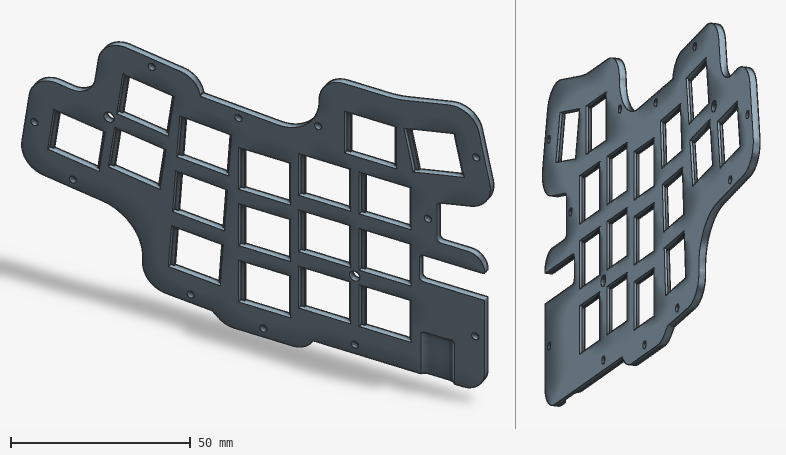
import cadquery as cq
import math

THICKNESS = 2.0
FRONT_Y = -THICKNESS / 2
BACK_Y = THICKNESS / 2

PITCH = 19.0
RING_TILT = -8
LONG_TILT = -4
THUMB_TILT = 12
INNER_TOP_Z = 9.6
WINDOW = 14.0
SEAT_WIDTH = 16.5
SEAT_DEPTH = 1.3
OUTER_DROP = 3.0

MARGIN = 16.3
CORNER_RADIUS = 8.0
LOWER_RIGHT_RADIUS = 6.8
SHOULDER_RADIUS = 7.4
UPPER_VALLEY_RADIUS = 12.3
LOWER_VALLEY_RADIUS = 14.8
STEP_VALLEY_RADIUS = 6.8
THUMB_BEND_RADIUS = 29.6
SLOT_CORNER_RADIUS = 1.3
SHARP_RADIUS = 0.5
RING_SHOULDER = 14.2
RING_STEP = (-17.8, 25.8)
MIDDLE_STEP_RIGHT_X = 17.8
MIDDLE_SHOULDER_RIGHT_X = 15.4
MIDDLE_SHOULDER_LEFT_X = -9.8
MIDDLE_STEP_LEFT = (-14.0, -45.2)
BOTTOM_Z = -44.9
RIGHT_X = 72.0
STEM_X = 56.9
SLOT_X = 51.4
SLOT_HEIGHT = 8.9
SLOT_TOP_Z = -4.7
TAB_HEIGHT = 5.9
TAB_RADIUS = 5.3

SCREW_DIAMETER = 2.2
LOCATOR_DIAMETER = 3.3
SCREW_HOLES = [
    (69.3, 33.6), (54.0, 8.0), (69.0, -26.6), (31.0, -41.9), (2.0, -45.9), (-20.9, -41.9),
    (-58.0, -15.4), (-70.2, 0.0), (-33.2, 30.6), (-5.8, 22.4), (19.4, 27.8),
]
LOCATOR_HOLES = [(-46.6, 9.3), (31.0, -18.8)]

RECESS_CENTRE_X = 57.1
RECESS_FLOOR_WIDTH = 6.4
RECESS_WIDTH = 10.7
RECESS_DEPTH = 1.0
RECESS_TOP_Z = -30.5
RECESS_END_RADIUS = 1.0
RECESS_OVERRUN = 1.5


def from_key(key, across, up):
    """Point at a distance across and up from a key centre, along the key's own tilted axes."""
    x, z, tilt = key
    c = math.cos(math.radians(tilt))
    s = math.sin(math.radians(tilt))
    return (x + across * c - up * s, z + across * s + up * c)


def column(top_key, count):
    """Keys (x, z, tilt) going down from the top key of a column."""
    tilt = top_key[2]
    return [(*from_key(top_key, 0, -row * PITCH), tilt) for row in range(count)]


ring_column = column((-35.1, 17.2, RING_TILT), 2)
long_column = column((-16.6, 9.5, LONG_TILT), 3)
middle_column = column((2.5, 5.5, 0), 3)
inner_column = column((21.5, INNER_TOP_Z, 0), 3)
last_column = column((40.5, INNER_TOP_Z, 0), 3)
outer_key = (*from_key(ring_column[1], -PITCH, -OUTER_DROP), RING_TILT)
upper_key = (36.0, INNER_TOP_Z + PITCH, 0)
thumb_key = (56.0, 30.8, THUMB_TILT)
keys = [outer_key, upper_key, thumb_key]
keys += ring_column + long_column + middle_column + inner_column + last_column


def crossing(p, p_tilt, q, q_tilt):
    """Where the line through p at angle p_tilt meets the line through q at angle q_tilt."""
    px, pz = math.cos(math.radians(p_tilt)), math.sin(math.radians(p_tilt))
    qx, qz = math.cos(math.radians(q_tilt)), math.sin(math.radians(q_tilt))
    along = ((q[0] - p[0]) * qz - (q[1] - p[1]) * qx) / (px * qz - pz * qx)
    return (p[0] + along * px, p[1] + along * pz)


def rounded_outline(corners):
    """Closed XZ outline through (point, radius) corners, each rounded by a tangent arc."""
    stretches = []
    for i, (corner, radius) in enumerate(corners):
        here = cq.Vector(*corner)
        back = (cq.Vector(*corners[i - 1][0]) - here).normalized()
        ahead = (cq.Vector(*corners[(i + 1) % len(corners)][0]) - here).normalized()
        half_angle = back.getAngle(ahead) / 2
        tangent_length = radius / math.tan(half_angle)
        middle_distance = radius / math.sin(half_angle) - radius
        start = here + back * tangent_length
        middle = here + (back + ahead).normalized() * middle_distance
        end = here + ahead * tangent_length
        stretches.append([(point.x, point.y) for point in (start, middle, end)])
    last_end = stretches[-1][2]
    outline = cq.Workplane("XZ", origin=(0, BACK_Y, 0)).moveTo(*last_end)
    for start, middle, end in stretches:
        outline = outline.lineTo(*start).threePointArc(middle, end)
    return outline.close()


outer_top = from_key(outer_key, 0, MARGIN)
outer_bottom = from_key(outer_key, 0, -MARGIN)
ring_left = from_key(ring_column[0], -MARGIN, 0)
long_left = from_key(long_column[2], -MARGIN, 0)
long_top = from_key(long_column[0], 0, MARGIN)
upper_left_x = upper_key[0] - MARGIN
upper_top = (upper_key[0], upper_key[1] + MARGIN)
thumb_top = from_key(thumb_key, 0, MARGIN)
thumb_bottom = from_key(thumb_key, 0, -MARGIN)
middle_bottom_z = middle_column[2][1] - MARGIN

slot_bottom_z = SLOT_TOP_Z - SLOT_HEIGHT
tab_top_z = SLOT_TOP_Z + TAB_HEIGHT

corners = [
    (from_key(outer_key, -MARGIN, -MARGIN), CORNER_RADIUS),
    (from_key(outer_key, -MARGIN, MARGIN), CORNER_RADIUS),
    (crossing(outer_top, RING_TILT, ring_left, RING_TILT + 90), STEP_VALLEY_RADIUS),
    (from_key(ring_column[0], -MARGIN, MARGIN), CORNER_RADIUS),
    (from_key(ring_column[0], RING_SHOULDER, MARGIN), SHOULDER_RADIUS),
    (RING_STEP, SHARP_RADIUS),
    (crossing(long_top, LONG_TILT, (upper_left_x, 0), 90), UPPER_VALLEY_RADIUS),
    ((upper_left_x, upper_top[1]), CORNER_RADIUS),
    (crossing(upper_top, 0, thumb_top, THUMB_TILT), THUMB_BEND_RADIUS),
    (from_key(thumb_key, MARGIN, MARGIN), CORNER_RADIUS),
    (from_key(thumb_key, MARGIN, -MARGIN), CORNER_RADIUS),
    (crossing(thumb_bottom, THUMB_TILT, (STEM_X, 0), 90), SLOT_CORNER_RADIUS),
    ((STEM_X, tab_top_z), SLOT_CORNER_RADIUS),
    ((RIGHT_X, tab_top_z), TAB_RADIUS),
    ((RIGHT_X, SLOT_TOP_Z), SHARP_RADIUS),
    ((SLOT_X, SLOT_TOP_Z), SLOT_CORNER_RADIUS),
    ((SLOT_X, slot_bottom_z), SLOT_CORNER_RADIUS),
    ((RIGHT_X, slot_bottom_z), SHARP_RADIUS),
    ((RIGHT_X, BOTTOM_Z), LOWER_RIGHT_RADIUS),
    ((MIDDLE_STEP_RIGHT_X, BOTTOM_Z), SHARP_RADIUS),
    ((MIDDLE_SHOULDER_RIGHT_X, middle_bottom_z), SHOULDER_RADIUS),
    ((MIDDLE_SHOULDER_LEFT_X, middle_bottom_z), SHOULDER_RADIUS),
    (MIDDLE_STEP_LEFT, SHARP_RADIUS),
    (from_key(long_column[2], -MARGIN, -MARGIN), CORNER_RADIUS),
    (crossing(outer_bottom, RING_TILT, long_left, LONG_TILT + 90), LOWER_VALLEY_RADIUS),
]
plate = rounded_outline(corners).extrude(THICKNESS)


def key_cutout(key):
    """Square window through the plate with a wider seat in its front."""
    x, z, tilt = key
    window = cq.Workplane("XY").box(WINDOW, THICKNESS, WINDOW)
    seat = cq.Workplane("XY").box(SEAT_WIDTH, SEAT_DEPTH, WINDOW)
    seat = seat.translate((0, FRONT_Y + SEAT_DEPTH / 2, 0))
    return window.union(seat).rotate((0, 0, 0), (0, 1, 0), -tilt).translate((x, 0, z))


for key in keys:
    plate = plate.cut(key_cutout(key))


def holes(places, diameter):
    """Pins through the plate at the given XZ places."""
    back = cq.Workplane("XZ", origin=(0, BACK_Y, 0))
    return back.pushPoints(places).circle(diameter / 2).extrude(THICKNESS)


plate = plate.cut(holes(SCREW_HOLES, SCREW_DIAMETER))
plate = plate.cut(holes(LOCATOR_HOLES, LOCATOR_DIAMETER))

recess_side = (RECESS_WIDTH - RECESS_FLOOR_WIDTH) / 2
recess_radius = (recess_side**2 + RECESS_DEPTH**2) / (2 * RECESS_DEPTH)
recess_length = RECESS_TOP_Z - BOTTOM_Z + RECESS_OVERRUN
recess = (
    cq.Workplane("XY", origin=(RECESS_CENTRE_X, FRONT_Y + RECESS_DEPTH - recess_radius, RECESS_TOP_Z))
    .slot2D(RECESS_FLOOR_WIDTH + 2 * recess_radius, 2 * recess_radius)
    .extrude(-recess_length)
    .faces(">Z")
    .edges()
    .fillet(RECESS_END_RADIUS)
)

result = plate.cut(recess)